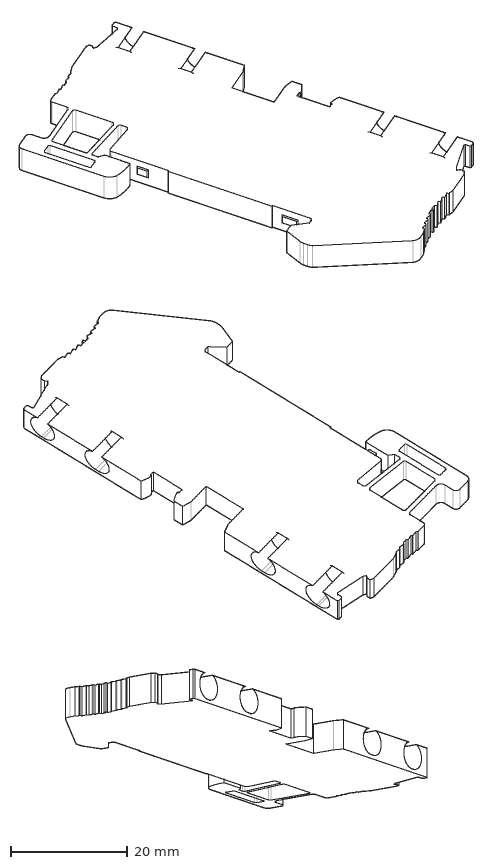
import cadquery as cq
import math

LENGTH = 72.2
HEIGHT = 35.2
THICKNESS = 5.2

SHOULDER_Y = 28.1
UNDERSIDE_Y = 6.1
LEFT_UNDERSIDE_Y = 12.65
SEAT_DROP = 0.2
SEAT_START_X = 26.1
SEAT_END_X = 45.9

LIP_LEFT_X = 1.75
LIP_RIGHT_X = 70.25
LIP_THICKNESS = 1.15
LIP_REACH = 1.25
LIP_CORNER = 0.2
GROOVE_RUN = 0.4
GROOVE_DEPTH = 0.55
SHOULDER_BEVEL = 0.3
NECK_LEAN = 1.25
NECK_FOOT_Y = 28.3

LEFT_GRIP_Y = 17.8
LEFT_GRIP_HALF = 4.2
LEFT_GRIP_SAG = 0.55
LEFT_TOOTH_DEPTH = 0.24
LEFT_CORNER_X = 0.25
LEFT_CORNER_R = 0.45
RIGHT_GRIP_Y = 17.12
RIGHT_GRIP_HALF = 5.8
RIGHT_GRIP_SAG = 0.88
RIGHT_TOOTH_DEPTH = 0.42
TOOTH_PITCH = 1.22
TOOTH_FLAT = 0.2
LEDGE_RUN = 0.15
LEFT_TEETH = 3
RIGHT_TEETH = 4
LEFT_FIRST_TOOTH = 0.55
CENTRE_RIB_HALF = 0.2

DEEP_START_X = 27.0
DEEP_END_X = 35.05
DEEP_FLOOR_Y = 29.25
DEEP_FLARE = 0.5
DEEP_FLARE_Y = 33.5
SHALLOW_START_X = 37.9
SHALLOW_END_X = 44.15
SHALLOW_FLOOR_Y = 32.35
SHALLOW_STEP_Y = 33.2
SHALLOW_STEP = 0.3
NOSE_LENGTH = 0.75
NOSE_BULGE = 0.12

RIGHT_CORNER_START_X = 71.4
RIGHT_CORNER_START_Y = 8.75
RIGHT_CORNER_END_Y = 10.3
RIGHT_CORNER_BULGE = 0.22
HOOK_LEFT_TANGENT = (54.0, 0.2)
HOOK_FLAT_START_X = 54.8
HOOK_FLAT_END_X = 55.5
HOOK_RIGHT_TANGENT = (56.45, 0.15)
HOOK_BULGE = 0.035
HOOK_TIP_X = 50.85
HOOK_TIP_LOW_Y = 1.5
HOOK_TIP_TOP_Y = 3.05
HOOK_THROAT_X = 53.5
HOOK_THROAT_Y = 5.0
HOOK_THROAT_R = 0.4

FOOT_LEFT_X = 0.25
FOOT_TOP_Y = 3.9
FOOT_STEP_Y = 4.8
FOOT_STEP_X = 13.75
FOOT_STEP_RUN = 0.8
FOOT_RIGHT_X = 19.4
FOOT_NOSE_MID = (18.65, 1.1)
FOOT_NOSE_BOTTOM_X = 16.75
FOOT_NOSE_LOW_BULGE = -0.26
FOOT_NOSE_HIGH_BULGE = -0.19
FOOT_CORNER_R = 0.85
LEG_LEFT_X = 3.95
LEG_WIDTH = 0.85
LEG_FOOT_R = 1.1
LEG_TOP_R = 0.45
WINDOW_FOOT_R = 0.3
SLANT_LEG_FOOT_X = 11.6
SLANT_LEG_RISE_X = 1.1
SLANT_LEG_WIDTH = 0.8
CLEFT_FOOT_X = 14.72
CLEFT_TOP_X = 15.35
CLEFT_FOOT_R = 0.4
SLOT_START_X = 4.8
SLOT_END_X = 13.75
SLOT_BOTTOM_Y = 0.9
SLOT_TOP_Y = 2.85
SLOT_CORNER_R = 0.3

PAD_BOTTOM_Z = 1.85
PAD_TOP_Z = 3.75
PAD_HEIGHT = 0.2
PAD_SLOPE = 0.2
PAD_SPANS = [(20.05, 22.25), (47.7, 50.8)]
LINK_START_X = 17.0
LINK_END_X = 18.55

CHANNEL_AXIS_Z = 3.0
CHANNEL_LENGTH = 5.5
OUTER_FLAT = 0.45
OUTER_RADIUS = 2.37
INNER_FLAT = 0.66
INNER_RADIUS = 2.3
CHANNELS = [
    (6.2, OUTER_FLAT, OUTER_RADIUS),
    (18.05, INNER_FLAT, INNER_RADIUS),
    (54.15, INNER_FLAT, INNER_RADIUS),
    (66.0, OUTER_FLAT, OUTER_RADIUS),
]


def box(x0, x1, y0, y1, z0=0.0, z1=THICKNESS):
    """Block between the given limits."""
    return cq.Workplane("XY").box(x1 - x0, y1 - y0, z1 - z0, centered=False).translate((x0, y0, z0))


def arc_middle(start, end, bulge):
    """Middle point of an arc that bulges to the left of the direction from start to end."""
    run_x = end[0] - start[0]
    run_y = end[1] - start[1]
    chord = math.hypot(run_x, run_y)
    middle_x = (start[0] + end[0]) / 2
    middle_y = (start[1] + end[1]) / 2
    return (middle_x - bulge * run_y / chord, middle_y + bulge * run_x / chord)


def round_edge(body, corner, radius):
    """Round the edge that runs through the thickness at the given corner."""
    reach = 0.05
    x, y = corner
    near_corner = cq.selectors.BoxSelector(
        (x - reach, y - reach, 0), (x + reach, y + reach, THICKNESS)
    )
    return body.edges("|Z").edges(near_corner).fillet(radius)


def grip_inset(offset, half, sag):
    """Depth of the hollow grip curve at a distance from the grip middle."""
    return sag * (1 - (offset / half) ** 2)


def grip_points(ledges, half, sag, depth):
    """Saw teeth as (offset, inset) pairs from top to bottom; the ledges face the grip middle."""
    upper = []
    for ledge in ledges:
        tip = grip_inset(ledge, half, sag)
        tooth = [(ledge + TOOTH_FLAT, tip), (ledge, tip), (ledge - LEDGE_RUN, tip + depth)]
        upper = tooth + upper
    lower = [(-offset, inset) for offset, inset in reversed(upper)]
    return upper, lower


def left_grip():
    """Outline points of the left grip, from top to bottom."""
    ledges = [LEFT_FIRST_TOOTH + i * TOOTH_PITCH for i in range(LEFT_TEETH)]
    upper, lower = grip_points(ledges, LEFT_GRIP_HALF, LEFT_GRIP_SAG, LEFT_TOOTH_DEPTH)
    return [(inset, LEFT_GRIP_Y + offset) for offset, inset in upper + lower]


def right_grip():
    """Outline points of the right grip, from top to bottom, with a rib in the middle."""
    ledges = [(i + 1) * TOOTH_PITCH for i in range(RIGHT_TEETH)]
    upper, lower = grip_points(ledges, RIGHT_GRIP_HALF, RIGHT_GRIP_SAG, RIGHT_TOOTH_DEPTH)
    root = RIGHT_GRIP_SAG + RIGHT_TOOTH_DEPTH
    rib = [
        (CENTRE_RIB_HALF, root),
        (CENTRE_RIB_HALF, RIGHT_GRIP_SAG),
        (-CENTRE_RIB_HALF, RIGHT_GRIP_SAG),
        (-CENTRE_RIB_HALF, root),
    ]
    return [(LENGTH - inset, RIGHT_GRIP_Y + offset) for offset, inset in upper + rib + lower]


def end_lip(tip_x, inward):
    """Lip, leaning neck and shoulder groove, from the top edge down; inward is +1 or -1."""
    under_y = HEIGHT - LIP_THICKNESS
    neck_x = tip_x + inward * LIP_REACH
    foot_x = neck_x - inward * NECK_LEAN
    return [
        (tip_x + inward * LIP_CORNER, HEIGHT),
        (tip_x, HEIGHT - LIP_CORNER),
        (tip_x, under_y + LIP_CORNER),
        (tip_x + inward * LIP_CORNER, under_y),
        (neck_x - inward * LIP_CORNER, under_y),
        (neck_x, under_y - LIP_CORNER),
        (foot_x, NECK_FOOT_Y),
        (foot_x - inward * GROOVE_RUN, NECK_FOOT_Y - GROOVE_DEPTH),
        (foot_x - inward * 2 * GROOVE_RUN, SHOULDER_Y),
    ]


def housing():
    """Main plate with grips, end lips and rail hook."""
    points = [(CLEFT_TOP_X, LEFT_UNDERSIDE_Y), (LEFT_CORNER_X, LEFT_UNDERSIDE_Y)]
    points += list(reversed(left_grip()))
    points += [(0, LEFT_GRIP_Y + LEFT_GRIP_HALF)]
    points += [(0, SHOULDER_Y - 2 * SHOULDER_BEVEL), (SHOULDER_BEVEL, SHOULDER_Y)]
    points += list(reversed(end_lip(LIP_LEFT_X, 1)))
    points += end_lip(LIP_RIGHT_X, -1)
    points += [(LENGTH - SHOULDER_BEVEL, SHOULDER_Y), (LENGTH, SHOULDER_Y - 2 * SHOULDER_BEVEL)]
    points += [(LENGTH, RIGHT_GRIP_Y + RIGHT_GRIP_HALF)]
    points += right_grip()
    points += [(LENGTH, RIGHT_GRIP_Y - RIGHT_GRIP_HALF), (LENGTH, RIGHT_CORNER_END_Y)]
    right_corner = (RIGHT_CORNER_START_X, RIGHT_CORNER_START_Y)
    hook_flat_start = (HOOK_FLAT_START_X, 0)
    hook_flat_end = (HOOK_FLAT_END_X, 0)
    plate = (
        cq.Workplane("XY")
        .polyline(points)
        .threePointArc(arc_middle(points[-1], right_corner, RIGHT_CORNER_BULGE), right_corner)
        .lineTo(*HOOK_RIGHT_TANGENT)
        .threePointArc(arc_middle(HOOK_RIGHT_TANGENT, hook_flat_end, HOOK_BULGE), hook_flat_end)
        .lineTo(*hook_flat_start)
        .threePointArc(arc_middle(hook_flat_start, HOOK_LEFT_TANGENT, HOOK_BULGE), HOOK_LEFT_TANGENT)
        .lineTo(HOOK_TIP_X, HOOK_TIP_LOW_Y)
        .lineTo(HOOK_TIP_X, HOOK_TIP_TOP_Y)
        .lineTo(HOOK_THROAT_X, HOOK_THROAT_Y)
        .lineTo(HOOK_THROAT_X, UNDERSIDE_Y)
        .lineTo(CLEFT_FOOT_X, UNDERSIDE_Y)
        .close()
        .extrude(THICKNESS)
    )
    plate = round_edge(plate, (LEFT_CORNER_X, LEFT_UNDERSIDE_Y), LEFT_CORNER_R)
    plate = round_edge(plate, (HOOK_THROAT_X, UNDERSIDE_Y), HOOK_THROAT_R)
    plate = round_edge(plate, (CLEFT_FOOT_X, UNDERSIDE_Y), CLEFT_FOOT_R)
    return plate.union(box(SEAT_START_X, SEAT_END_X, UNDERSIDE_Y - SEAT_DROP, HEIGHT / 2))


def deep_recess():
    """Recess in the top edge with flared upper walls."""
    return (
        cq.Workplane("XY")
        .moveTo(DEEP_START_X, DEEP_FLOOR_Y)
        .lineTo(DEEP_END_X, DEEP_FLOOR_Y)
        .lineTo(DEEP_END_X, DEEP_FLARE_Y)
        .lineTo(DEEP_END_X + DEEP_FLARE, HEIGHT)
        .lineTo(DEEP_START_X - DEEP_FLARE, HEIGHT)
        .lineTo(DEEP_START_X, DEEP_FLARE_Y)
        .close()
        .extrude(THICKNESS)
    )


def shallow_recess():
    """Recess in the top edge overhung by two rounded latch noses."""
    left_nose_x = SHALLOW_START_X + SHALLOW_STEP
    right_nose_x = SHALLOW_END_X - SHALLOW_STEP
    middle_y = (SHALLOW_STEP_Y + HEIGHT) / 2
    middle_run = NOSE_LENGTH / 2 - NOSE_BULGE
    return (
        cq.Workplane("XY")
        .moveTo(SHALLOW_START_X, SHALLOW_FLOOR_Y)
        .lineTo(SHALLOW_END_X, SHALLOW_FLOOR_Y)
        .lineTo(SHALLOW_END_X, SHALLOW_STEP_Y)
        .lineTo(right_nose_x, SHALLOW_STEP_Y)
        .threePointArc((right_nose_x + middle_run, middle_y), (right_nose_x + NOSE_LENGTH, HEIGHT))
        .lineTo(left_nose_x - NOSE_LENGTH, HEIGHT)
        .threePointArc((left_nose_x - middle_run, middle_y), (left_nose_x, SHALLOW_STEP_Y))
        .lineTo(SHALLOW_START_X, SHALLOW_STEP_Y)
        .close()
        .extrude(THICKNESS)
    )


def channel(centre_x, flat, radius):
    """Oval conductor channel along Y, open at the top edge and breaking through the top face."""
    return (
        cq.Workplane("XZ", origin=(centre_x, HEIGHT, CHANNEL_AXIS_Z))
        .slot2D(flat + 2 * radius, 2 * radius)
        .extrude(CHANNEL_LENGTH)
    )


def spring_foot():
    """Foot bar with a rounded nose, its slot and the two legs that carry it."""
    nose_start = (FOOT_NOSE_BOTTOM_X, 0)
    nose_end = (FOOT_RIGHT_X, FOOT_STEP_Y)
    slot = box(SLOT_START_X, SLOT_END_X, SLOT_BOTTOM_Y, SLOT_TOP_Y).edges("|Z").fillet(SLOT_CORNER_R)
    bar = (
        cq.Workplane("XY")
        .moveTo(FOOT_LEFT_X, 0)
        .lineTo(*nose_start)
        .threePointArc(arc_middle(nose_start, FOOT_NOSE_MID, FOOT_NOSE_LOW_BULGE), FOOT_NOSE_MID)
        .threePointArc(arc_middle(FOOT_NOSE_MID, nose_end, FOOT_NOSE_HIGH_BULGE), nose_end)
        .lineTo(FOOT_STEP_X + FOOT_STEP_RUN, FOOT_STEP_Y)
        .lineTo(FOOT_STEP_X, FOOT_TOP_Y)
        .lineTo(FOOT_LEFT_X, FOOT_TOP_Y)
        .close()
        .extrude(THICKNESS)
        .edges("|Z and <X")
        .fillet(FOOT_CORNER_R)
        .cut(slot)
    )
    upright_leg = box(LEG_LEFT_X, LEG_LEFT_X + LEG_WIDTH, FOOT_TOP_Y, LEFT_UNDERSIDE_Y)
    slant_top_x = SLANT_LEG_FOOT_X + SLANT_LEG_RISE_X
    slanted_leg = (
        cq.Workplane("XY")
        .polyline([
            (SLANT_LEG_FOOT_X, FOOT_TOP_Y),
            (SLANT_LEG_FOOT_X + SLANT_LEG_WIDTH, FOOT_TOP_Y),
            (slant_top_x + SLANT_LEG_WIDTH, LEFT_UNDERSIDE_Y),
            (slant_top_x, LEFT_UNDERSIDE_Y),
        ])
        .close()
        .extrude(THICKNESS)
    )
    return bar.union(upright_leg).union(slanted_leg)


def round_leg_roots(body):
    """Round the inner corners where the two legs meet the foot bar and the housing."""
    slant_top_x = SLANT_LEG_FOOT_X + SLANT_LEG_RISE_X
    leg_right_x = LEG_LEFT_X + LEG_WIDTH
    top_corners = [LEG_LEFT_X, leg_right_x, slant_top_x, slant_top_x + SLANT_LEG_WIDTH, CLEFT_TOP_X]
    for x in top_corners:
        body = round_edge(body, (x, LEFT_UNDERSIDE_Y), LEG_TOP_R)
    body = round_edge(body, (LEG_LEFT_X, FOOT_TOP_Y), LEG_FOOT_R)
    for x in (leg_right_x, SLANT_LEG_FOOT_X, SLANT_LEG_FOOT_X + SLANT_LEG_WIDTH):
        body = round_edge(body, (x, FOOT_TOP_Y), WINDOW_FOOT_R)
    return body


def underside_blocks():
    """Link between foot and housing, and the low pads on the underside."""
    blocks = box(LINK_START_X, LINK_END_X, FOOT_STEP_Y, UNDERSIDE_Y, PAD_BOTTOM_Z, PAD_TOP_Z)
    for start_x, end_x in PAD_SPANS:
        centre = ((start_x + end_x) / 2, UNDERSIDE_Y, (PAD_BOTTOM_Z + PAD_TOP_Z) / 2)
        taper = math.degrees(math.atan(PAD_SLOPE / PAD_HEIGHT))
        pad = (
            cq.Workplane("XZ", origin=centre)
            .rect(end_x - start_x, PAD_TOP_Z - PAD_BOTTOM_Z)
            .extrude(PAD_HEIGHT, taper=taper)
        )
        blocks = blocks.union(pad)
    return blocks


result = housing().cut(deep_recess()).cut(shallow_recess())
for centre_x, flat, radius in CHANNELS:
    result = result.cut(channel(centre_x, flat, radius))
result = round_leg_roots(result.union(spring_foot()))
result = result.union(underside_blocks())